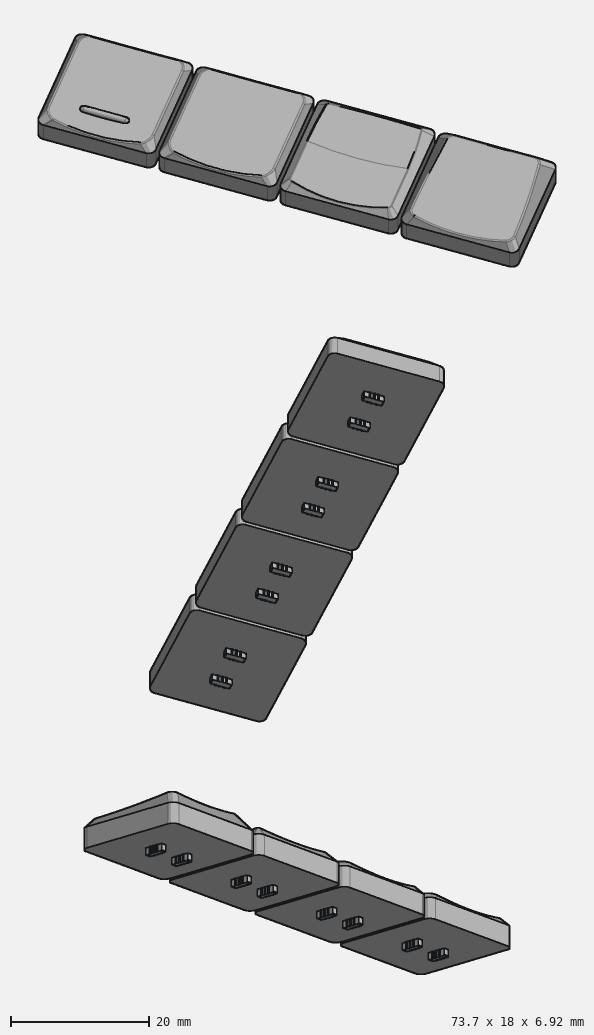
import cadquery as cq
import math

row_length = 73.65
cap_size = 18.0
cap_count = 4
cap_pitch = (row_length - cap_size) / (cap_count - 1)

wall_height = 3.25
corner_radius = 1.1

crown_height = 3.3
scooped_crown_height = 2.05
steep_draft = 36.0
shallow_draft = 45.0
flared_corner = 3.0
even_corner = corner_radius
pinched_corner = 0.1

dish_radius = 35.35
dish_floor = 3.6
dish_half_width = 11.05
dish_headroom = 3.7
dish_reach = 10.3
scoop_radius = 44.2
ramp_radius = 81.0
ramp_middle = 4.2
ramp_slope = 5.8

rim_fillet = 0.3
fine_rim_fillet = 0.15

rim_clearance = 0.1
rim_reach = cap_size / 4

leg_spacing = 5.7
leg_width = 0.9
leg_length = 3.1
leg_height = 1.1
leg_chamfer = 0.11
rib_count = 3
rib_spacing = 0.65
rib_width = 0.2
rib_projection = 0.11

bar_length = 7.5
bar_radius = 0.55
bar_y = -4.65
bar_top = 4.3


def rounded_square(size, radius):
    """Sketch of a square with rounded corners."""
    return cq.Sketch().rect(size, size).vertices().fillet(radius).reset()


def cap_blank(height, draft, top_corner):
    """Straight wall and sloping crown, before the top is dished."""
    top_size = cap_size - 2 * height * math.tan(math.radians(draft))
    outline = rounded_square(cap_size, corner_radius)
    top_outline = rounded_square(top_size, top_corner).moved(cq.Location(cq.Vector(0, 0, height)))
    wall = cq.Workplane("XY").placeSketch(outline).extrude(wall_height)
    crown = cq.Workplane("XY", origin=(0, 0, wall_height)).placeSketch(outline, top_outline).loft(ruled=True)
    return wall.union(crown)


def dish_section(y, z):
    """Circular segment standing across the cap, with the lowest point of its arc at (y, z)."""
    rise = dish_radius - math.sqrt(dish_radius**2 - dish_half_width**2)
    return (
        cq.Workplane("XZ", origin=(0, y, z))
        .moveTo(-dish_half_width, rise)
        .threePointArc((0, 0), (dish_half_width, rise))
        .lineTo(dish_half_width, rise + dish_headroom)
        .lineTo(-dish_half_width, rise + dish_headroom)
        .close()
    )


def straight_dish():
    """Level from front to back."""
    return dish_section(dish_reach, dish_floor).extrude(2 * dish_reach)


def scooped_dish():
    """Straight over the front half, curving upwards over the back half."""
    front = dish_section(0, dish_floor).extrude(dish_reach)
    back = dish_section(0, dish_floor).revolve(
        math.degrees(math.asin(dish_reach / scoop_radius)),
        (-0.7, scoop_radius, 0),
        (0.7, scoop_radius, 0),
    )
    return front.union(back)


def ramped_dish():
    """Climbs from front to back, ever more steeply."""
    half_sweep = math.degrees(math.asin(dish_reach / ramp_radius))
    path_centre = ramp_middle + ramp_radius
    return (
        dish_section(0, ramp_middle)
        .revolve(2 * half_sweep, (-0.7, ramp_radius, 0), (0.7, ramp_radius, 0))
        .rotate((-0.7, 0, path_centre), (0.7, 0, path_centre), -half_sweep)
        .rotate((-0.7, 0, ramp_middle), (0.7, 0, ramp_middle), ramp_slope)
    )


def dished_cap(height, draft, top_corner, dish, rim_radius):
    """Cap with its top hollowed by the dish and the edge around the dish rounded."""
    cap = cap_blank(height, draft, top_corner).cut(dish)
    rim = [
        edge
        for edge in cap.edges().vals()
        if edge.BoundingBox().zmin > wall_height + rim_clearance
        and math.hypot(edge.Center().x, edge.Center().y) > rim_reach
    ]
    return cap.newObject(rim).fillet(rim_radius)


def legs():
    """Pair of legs under the cap, chamfered at the front and back, with upright ribs on their sides."""
    leg_places = [-leg_spacing / 2, leg_spacing / 2]
    rib_places = [(index - (rib_count - 1) / 2) * rib_spacing for index in range(rib_count)]
    plates = (
        cq.Workplane("XY")
        .pushPoints([(x, 0) for x in leg_places])
        .rect(leg_width, leg_length)
        .extrude(-leg_height)
        .faces("<Z")
        .edges("|X")
        .chamfer(leg_chamfer)
    )
    ribs = (
        cq.Workplane("XY")
        .pushPoints([(x, y) for x in leg_places for y in rib_places])
        .rect(leg_width + 2 * rib_projection, rib_width)
        .extrude(-leg_height)
    )
    return plates.union(ribs)


def locating_bar():
    """Round bar with domed ends, lying half sunk in the dish."""
    profile_length = bar_length - 2 * bar_radius
    return (
        cq.Workplane("XY", origin=(0, bar_y, bar_top - bar_radius))
        .moveTo(-bar_length / 2, 0)
        .radiusArc((-profile_length / 2, bar_radius), bar_radius)
        .lineTo(profile_length / 2, bar_radius)
        .radiusArc((bar_length / 2, 0), bar_radius)
        .close()
        .revolve(360, (-0.7, 0, 0), (0.7, 0, 0))
    )


def in_row(cap, index):
    """Fit the legs and move the cap to its place in the row."""
    return cap.union(legs()).translate(((index - (cap_count - 1) / 2) * cap_pitch, 0, 0))


flat_cap = dished_cap(crown_height, steep_draft, flared_corner, straight_dish(), rim_fillet)
scooped_cap = dished_cap(scooped_crown_height, shallow_draft, pinched_corner, scooped_dish(), fine_rim_fillet)
ramped_cap = dished_cap(crown_height, steep_draft, even_corner, ramped_dish(), rim_fillet)

caps = [flat_cap.union(locating_bar()), flat_cap, scooped_cap, ramped_cap]
result = cq.Compound.makeCompound([in_row(cap, index).val() for index, cap in enumerate(caps)])